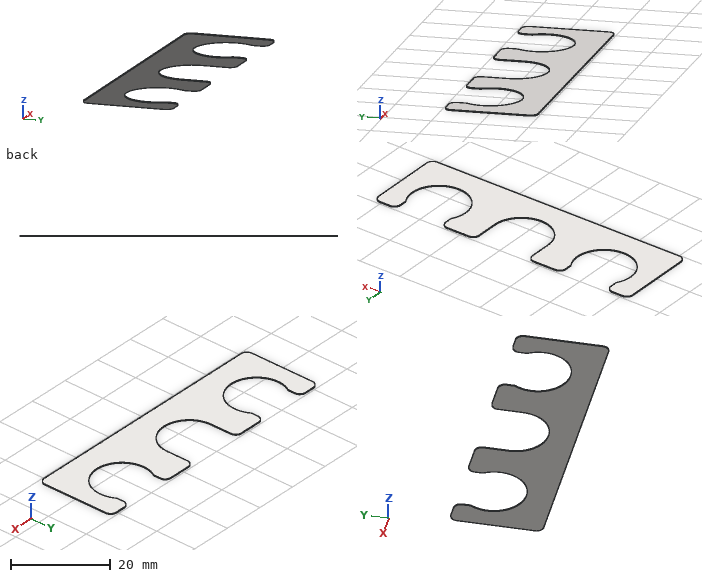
import cadquery as cq

length = 63.5
width = 19.05
thickness = 0.25
corner_radius = 1.5

pocket_pitch = 20.64
pocket_diameter = 13.3
pocket_center_depth = 6.73
outer_mouth_width = 11.3

pocket_y = width / 2 - pocket_center_depth


def pocket(center_x, mouth_width):
    """Round pocket joined to the +Y edge by a straight mouth."""
    bore = (
        cq.Workplane("XY")
        .center(center_x, pocket_y)
        .circle(pocket_diameter / 2)
        .extrude(thickness)
    )
    mouth = (
        cq.Workplane("XY")
        .center(center_x, pocket_y + pocket_center_depth / 2)
        .rect(mouth_width, pocket_center_depth)
        .extrude(thickness)
    )
    return bore.union(mouth)


plate = cq.Workplane("XY").box(length, width, thickness, centered=(True, True, False))

plate = plate.cut(pocket(-pocket_pitch, outer_mouth_width))
plate = plate.cut(pocket(0, pocket_diameter))
plate = plate.cut(pocket(pocket_pitch, outer_mouth_width))

plate = plate.faces("<Y or >Y").edges("|Z").fillet(corner_radius)

result = plate